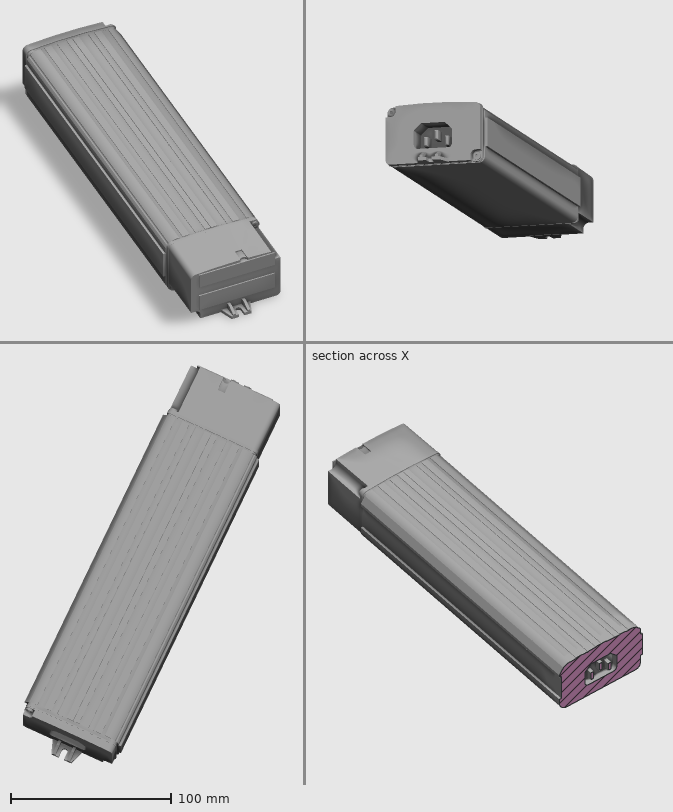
import cadquery as cq
import math

LENGTH = 265.5
HEIGHT = 38.5
HALF_WIDTH = 33.2

INLET_FACE = 9.0
INLET_FLANGE = 14.0
INLET_LIP_END = 15.0
BODY_START = 17.0
BODY_END = 220.5
DEEP_LIP_START = 221.7
DEEP_CAP_START = 223.5
DEEP_CAP_FACE = 256.7

WALL = 31.5
CROWN_EDGE = 24.5
CROWN_EDGE_MINUS_Y = -22.0
CROWN_EDGE_HEIGHT = 37.5
SHOULDER_RADIUS = 9.0
SHOULDER_END_Z = 32.7
FOOT_FLARE_RADIUS = 7.0
FOOT_FLARE_Z = 6.5
CORNER = 4.0
TONGUE_BOTTOM = 10.0
TONGUE_TOP = 28.5
FLARE_BREAK = (30.0, 35.3)
FLARE_LOW_Z = 30.5
SHALLOW_GROOVES = ((4.2, 15.0), (19.6, CROWN_EDGE), (-15.0, -4.2), (CROWN_EDGE_MINUS_Y, -19.6))
SHALLOW_DEPTH = 0.4
NARROW_GROOVES = ((10.5, 0.5), (-0.3, 0.3), (-11.0, 0.3))
NARROW_DEPTH = 0.8
SHOULDER_GROOVE_Y = -30.3
SHOULDER_GROOVE_Z = 35.5
SHOULDER_GROOVE_RADIUS = 1.0

FLANGE_HALF_WIDTH = 31.0
FLANGE_TOP = 38.5
NECK_INSET = 0.5
CAP_HALF_WIDTH = 30.8
CAP_TOP = 38.2
CAP_BOTTOM = 0.3
CROWN_RISE = 1.0
CAP_TOP_RADIUS = 3.5
CAP_BOTTOM_RADIUS = 2.7
DRAFT = 0.5

SCREW_CENTERS = ((28.0, 34.0), (-28.0, 3.5))
SCREW_CLEARANCE = 3.5
SCREW_HEAD_RADIUS = 2.5
SCREW_HEAD_HEIGHT = 1.3
SCREW_SOCKET_RADIUS = 1.0
SCREW_SOCKET_DEPTH = 0.8
INLET_SCREW_SEAT = 13.3
DEEP_SCREW_SEAT = 224.5

VENT_COUNT = 6
VENT_PITCH = 4.0
VENT_FIRST_Z = 9.0
VENT_SIZE = 1.9
VENT_SHARE = 0.7
VENT_DEPTH = 1.0

INLET_HALF_WIDTH = 12.5
INLET_TOP_HALF_WIDTH = 7.7
INLET_BOTTOM = 9.3
INLET_SHOULDER = 21.0
INLET_TOP = 25.5
INLET_CORNER = 2.7
INLET_DEPTH = 16.0
PIN_LENGTH = 9.3
PIN_WIDTH = 2.5
PIN_HEIGHT = 6.0
PIN_CHAMFER = 0.8
PIN_CENTERS = ((0.0, 19.0), (7.0, 15.1), (-7.0, 15.1))

LATCH_Y = 5.8
LATCH_START = 248.0
LATCH_WIDTH = 4.8
LATCH_DEPTH = 1.0
LATCH_HOLE_RADIUS = 2.7
LATCH_HOLE_DEPTH = 2.7

PAD_HEIGHT = 0.8
PAD_Y = (-25.5, 26.5)
PAD_Z = ((8.0, 19.5), (26.3, 36.0))

FOOT_ROOT_HALF_WIDTH = 10.0
FOOT_TIP_HALF_WIDTH = 7.0
FOOT_THICKNESS = 2.0
FOOT_EMBED = 2.7
SLOT_HALF_WIDTH = 1.9
SLOT_END = 6.6
RIB_Y = 5.0
RIB_THICKNESS = 1.9
RIB_TIP_HEIGHT = 3.5
RIB_HEIGHT = 6.0
RIB_SLOPE_END = 5.8


def section_plane(x):
    """Sketch plane across the part: local x is Y, local y is Z."""
    return cq.Workplane("YZ", origin=(x, 0, 0))


def box(x_range, y_range, z_range):
    sizes = [high - low for low, high in (x_range, y_range, z_range)]
    corner = (x_range[0], y_range[0], z_range[0])
    return cq.Workplane("XY").box(*sizes, centered=False).translate(corner)


def crown_height(y):
    """Height of the crown arc over the given y."""
    sag = HEIGHT - CROWN_EDGE_HEIGHT
    radius = (CROWN_EDGE**2 + sag**2) / (2 * sag)
    return HEIGHT - radius + math.sqrt(radius**2 - y**2)


def top_groove(y_start, y_end, depth):
    """Cutter for a groove along the body whose floor follows the crown."""
    return (
        section_plane(BODY_START)
        .moveTo(y_start, HEIGHT)
        .lineTo(y_start, crown_height(y_start) - depth)
        .lineTo(y_end, crown_height(y_end) - depth)
        .lineTo(y_end, HEIGHT)
        .close()
        .extrude(BODY_END - BODY_START)
    )


def extrusion():
    length = BODY_END - BODY_START
    body = (
        section_plane(BODY_START)
        .moveTo(-WALL + CORNER, 0)
        .lineTo(WALL - CORNER, 0)
        .radiusArc((HALF_WIDTH, FOOT_FLARE_Z), -FOOT_FLARE_RADIUS)
        .lineTo(HALF_WIDTH, TONGUE_BOTTOM)
        .lineTo(WALL, TONGUE_BOTTOM)
        .lineTo(WALL, TONGUE_TOP)
        .lineTo(HALF_WIDTH, TONGUE_TOP)
        .lineTo(HALF_WIDTH, FLARE_LOW_Z)
        .lineTo(*FLARE_BREAK)
        .radiusArc((CROWN_EDGE, CROWN_EDGE_HEIGHT), -SHOULDER_RADIUS)
        .threePointArc((0, HEIGHT), (CROWN_EDGE_MINUS_Y, crown_height(CROWN_EDGE_MINUS_Y)))
        .radiusArc((-WALL, SHOULDER_END_Z), -SHOULDER_RADIUS)
        .lineTo(-WALL, TONGUE_TOP)
        .lineTo(-HALF_WIDTH, TONGUE_TOP)
        .lineTo(-HALF_WIDTH, TONGUE_BOTTOM)
        .lineTo(-WALL, TONGUE_BOTTOM)
        .lineTo(-WALL, CORNER)
        .radiusArc((-WALL + CORNER, 0), -CORNER)
        .close()
        .extrude(length)
    )
    for y_start, y_end in SHALLOW_GROOVES:
        body = body.cut(top_groove(y_start, y_end, SHALLOW_DEPTH))
    for y, width in NARROW_GROOVES:
        body = body.cut(top_groove(y - width / 2, y + width / 2, NARROW_DEPTH))
    shoulder_groove = (
        section_plane(BODY_START)
        .center(SHOULDER_GROOVE_Y, SHOULDER_GROOVE_Z)
        .circle(SHOULDER_GROOVE_RADIUS)
        .extrude(length)
    )
    return body.cut(shoulder_groove)


def cap_outline(x, half_width, bottom, top):
    """Rounded rectangle with a crowned top, sketched on the plane at x."""
    top_y = half_width - CAP_TOP_RADIUS
    bottom_y = half_width - CAP_BOTTOM_RADIUS
    eave = top - CROWN_RISE
    return (
        section_plane(x)
        .moveTo(-bottom_y, bottom)
        .lineTo(bottom_y, bottom)
        .radiusArc((half_width, bottom + CAP_BOTTOM_RADIUS), -CAP_BOTTOM_RADIUS)
        .lineTo(half_width, eave - CAP_TOP_RADIUS)
        .radiusArc((top_y, eave), -CAP_TOP_RADIUS)
        .threePointArc((0, top), (-top_y, eave))
        .radiusArc((-half_width, eave - CAP_TOP_RADIUS), -CAP_TOP_RADIUS)
        .lineTo(-half_width, bottom + CAP_BOTTOM_RADIUS)
        .radiusArc((-bottom_y, bottom), -CAP_BOTTOM_RADIUS)
        .close()
    )


def lip(x_start, x_end):
    return cap_outline(x_start, FLANGE_HALF_WIDTH, 0, FLANGE_TOP).extrude(x_end - x_start)


def neck(x_start, x_end):
    half_width = FLANGE_HALF_WIDTH - NECK_INSET
    outline = cap_outline(x_start, half_width, NECK_INSET, FLANGE_TOP - NECK_INSET)
    plate = outline.extrude(x_end - x_start)
    vent_x = (x_start, x_start + VENT_SHARE * (x_end - x_start))
    vent_y = (-half_width, -half_width + VENT_DEPTH)
    for i in range(VENT_COUNT):
        z = VENT_FIRST_Z + i * VENT_PITCH
        plate = plate.cut(box(vent_x, vent_y, (z, z + VENT_SIZE)))
    return plate


def screw_corners(cap, seat, face):
    """Open two opposite corners of a cap from its face to the screw seat, and add the screws."""
    outward = 1 if face > seat else -1
    for y, z in SCREW_CENTERS:
        side = 1 if y > 0 else -1
        inner_y = y - side * SCREW_CLEARANCE
        inner_z = z - side * SCREW_CLEARANCE
        outer_y = y + side * 2 * SCREW_CLEARANCE
        outer_z = z + side * 2 * SCREW_CLEARANCE
        corner = (
            section_plane(seat)
            .moveTo(inner_y, outer_z)
            .lineTo(inner_y, z)
            .radiusArc((y, inner_z), -SCREW_CLEARANCE)
            .lineTo(outer_y, inner_z)
            .lineTo(outer_y, outer_z)
            .close()
            .extrude(face - seat)
        )
        head = (
            section_plane(seat)
            .center(y, z)
            .circle(SCREW_HEAD_RADIUS)
            .extrude(outward * SCREW_HEAD_HEIGHT)
        )
        socket = (
            section_plane(seat + outward * SCREW_HEAD_HEIGHT)
            .center(y, z)
            .circle(SCREW_SOCKET_RADIUS)
            .extrude(-outward * SCREW_SOCKET_DEPTH)
        )
        cap = cap.cut(corner).union(head.cut(socket))
    return cap


def inlet_cap():
    cap = cap_outline(INLET_FACE, CAP_HALF_WIDTH, CAP_BOTTOM, CAP_TOP).extrude(
        INLET_FLANGE - INLET_FACE
    )
    return screw_corners(cap, INLET_SCREW_SEAT, INLET_FACE)


def inlet_cavity():
    """Three-pin mains inlet: the cavity to cut, with its pins left standing."""
    corner_y = INLET_HALF_WIDTH - INLET_CORNER
    cavity = (
        section_plane(INLET_FACE)
        .moveTo(-corner_y, INLET_BOTTOM)
        .lineTo(corner_y, INLET_BOTTOM)
        .radiusArc((INLET_HALF_WIDTH, INLET_BOTTOM + INLET_CORNER), -INLET_CORNER)
        .lineTo(INLET_HALF_WIDTH, INLET_SHOULDER)
        .lineTo(INLET_TOP_HALF_WIDTH, INLET_TOP)
        .lineTo(-INLET_TOP_HALF_WIDTH, INLET_TOP)
        .lineTo(-INLET_HALF_WIDTH, INLET_SHOULDER)
        .lineTo(-INLET_HALF_WIDTH, INLET_BOTTOM + INLET_CORNER)
        .radiusArc((-corner_y, INLET_BOTTOM), -INLET_CORNER)
        .close()
        .extrude(INLET_DEPTH)
    )
    pins = (
        section_plane(INLET_FACE + INLET_DEPTH - PIN_LENGTH)
        .pushPoints(PIN_CENTERS)
        .rect(PIN_WIDTH, PIN_HEIGHT)
        .extrude(PIN_LENGTH)
        .faces("<X")
        .chamfer(PIN_CHAMFER)
    )
    return cavity.cut(pins)


def deep_cap():
    root = cap_outline(DEEP_CAP_START, CAP_HALF_WIDTH, CAP_BOTTOM, FLANGE_TOP)
    tip = cap_outline(DEEP_CAP_FACE, CAP_HALF_WIDTH, CAP_BOTTOM, FLANGE_TOP - DRAFT)
    cap = cq.Workplane(
        cq.Solid.makeLoft([outline.wire().val() for outline in (root, tip)], True)
    )
    latch_floor = CAP_TOP - LATCH_DEPTH
    latch_y = (LATCH_Y - LATCH_WIDTH / 2, LATCH_Y + LATCH_WIDTH / 2)
    cap = cap.cut(box((LATCH_START, DEEP_CAP_FACE), latch_y, (latch_floor, HEIGHT)))
    latch_hole = (
        cq.Workplane("XY", origin=(DEEP_CAP_FACE, LATCH_Y, HEIGHT))
        .circle(LATCH_HOLE_RADIUS)
        .extrude(-LATCH_HOLE_DEPTH)
    )
    cap = cap.cut(latch_hole)
    for pad_z in PAD_Z:
        cap = cap.union(box((DEEP_CAP_FACE, DEEP_CAP_FACE + PAD_HEIGHT), PAD_Y, pad_z))
    return screw_corners(cap, DEEP_SCREW_SEAT, DEEP_CAP_FACE)


def foot():
    """Slotted foot with two gusset ribs, reaching from x = 0 into the inlet cap."""
    root_x = INLET_FACE + FOOT_EMBED
    plate = (
        cq.Workplane("XY")
        .moveTo(0, -FOOT_TIP_HALF_WIDTH)
        .lineTo(INLET_FACE, -FOOT_ROOT_HALF_WIDTH)
        .lineTo(root_x, -FOOT_ROOT_HALF_WIDTH)
        .lineTo(root_x, FOOT_ROOT_HALF_WIDTH)
        .lineTo(INLET_FACE, FOOT_ROOT_HALF_WIDTH)
        .lineTo(0, FOOT_TIP_HALF_WIDTH)
        .close()
        .extrude(FOOT_THICKNESS)
    )
    slot_center = SLOT_END - SLOT_HALF_WIDTH
    slot = (
        cq.Workplane("XY")
        .moveTo(0, -SLOT_HALF_WIDTH)
        .lineTo(slot_center, -SLOT_HALF_WIDTH)
        .threePointArc((SLOT_END, 0), (slot_center, SLOT_HALF_WIDTH))
        .lineTo(0, SLOT_HALF_WIDTH)
        .close()
        .extrude(FOOT_THICKNESS)
    )
    bracket = plate.cut(slot)
    for y in (-RIB_Y, RIB_Y):
        rib = (
            cq.Workplane("XZ", origin=(0, y + RIB_THICKNESS / 2, 0))
            .lineTo(root_x, 0)
            .lineTo(root_x, RIB_HEIGHT)
            .lineTo(RIB_SLOPE_END, RIB_HEIGHT)
            .lineTo(0, RIB_TIP_HEIGHT)
            .close()
            .extrude(RIB_THICKNESS)
        )
        bracket = bracket.union(rib)
    return bracket


left_foot = foot()
right_foot = left_foot.mirror("YZ", (LENGTH / 2, 0, 0))

result = (
    extrusion()
    .union(neck(INLET_LIP_END, BODY_START))
    .union(lip(INLET_FLANGE, INLET_LIP_END))
    .union(neck(BODY_END, DEEP_LIP_START))
    .union(lip(DEEP_LIP_START, DEEP_CAP_START))
    .union(inlet_cap())
    .union(deep_cap())
    .cut(inlet_cavity())
    .union(left_foot)
    .union(right_foot)
)